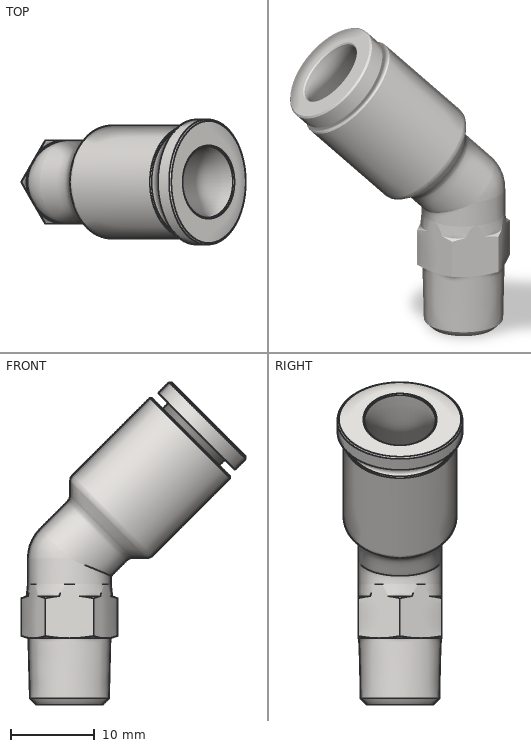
import cadquery as cq
import math

thread_tip_radius = 3.95
thread_low_radius = 4.75
thread_top_radius = 4.93
thread_tip_height = 0.8
thread_top = 8.0

hex_sides = 6
hex_flat_width = 10.0
hex_chamfer_rise = 0.25
hex_shoulder = 13.0
hex_shoulder_radius = 5.15
collar_bottom = 14.45

tube_radius = 5.0
elbow_height = 17.5
elbow_angle = 45.0

socket_radius = 6.8
cone_start = 5.08
cone_end = cone_start + socket_radius - tube_radius
cone_blend = 0.9
socket_end = 20.55
socket_chamfer = 0.15

ring_length = 15.0
ring_width = 13.0
ring_start = 21.5
ring_end = 23.55
ring_chamfer = 0.2
sleeve_radius = 4.8

bore_radius = 4.25
bore_chamfer = 0.15
bore_floor = cone_end

hex_flat_radius = hex_flat_width / 2
hex_corner_radius = hex_flat_radius / math.cos(math.pi / hex_sides)


def revolve_outline(points):
    """Revolve a closed (radius, height) outline about Z."""
    return cq.Workplane("XZ").polyline(points).close().revolve(360, (0, 0, 0), (0, 1, 0))


def make_thread():
    return revolve_outline([
        (0, 0),
        (thread_tip_radius, 0),
        (thread_low_radius, thread_tip_height),
        (thread_top_radius, thread_top),
        (0, thread_top),
    ])


def make_hexagon():
    """Hexagon trimmed by chamfer cones, with a flared neck above it."""
    prism = (
        cq.Workplane("XY")
        .workplane(offset=thread_top)
        .polygon(hex_sides, 2 * hex_corner_radius)
        .extrude(collar_bottom - thread_top)
    )
    envelope = revolve_outline([
        (0, thread_top),
        (hex_flat_radius, thread_top),
        (hex_corner_radius, thread_top + hex_chamfer_rise),
        (hex_corner_radius, hex_shoulder - hex_chamfer_rise),
        (hex_shoulder_radius, hex_shoulder),
        (tube_radius, collar_bottom),
        (0, collar_bottom),
    ])
    return prism.intersect(envelope)


def make_collar():
    return (
        cq.Workplane("XY")
        .workplane(offset=collar_bottom)
        .circle(tube_radius)
        .extrude(elbow_height - collar_bottom)
    )


def make_socket():
    """Tube and socket body along Z, with the elbow centre at the origin."""
    socket = revolve_outline([
        (0, 0),
        (tube_radius, 0),
        (tube_radius, cone_start),
        (socket_radius, cone_end),
        (socket_radius, socket_end),
        (0, socket_end),
    ])
    socket = socket.faces("%CONE").edges().fillet(cone_blend)
    return socket.faces(">Z").edges().chamfer(socket_chamfer)


def make_release_ring():
    sleeve = (
        cq.Workplane("XY")
        .workplane(offset=socket_end)
        .circle(sleeve_radius)
        .extrude(ring_start - socket_end)
    )
    ring = (
        cq.Workplane("XY")
        .workplane(offset=ring_start)
        .ellipse(ring_width / 2, ring_length / 2)
        .extrude(ring_end - ring_start)
        .faces(">Z")
        .edges()
        .chamfer(ring_chamfer)
    )
    return sleeve.union(ring)


def make_bore():
    return revolve_outline([
        (0, bore_floor),
        (bore_radius, bore_floor),
        (bore_radius, ring_end - bore_chamfer),
        (bore_radius + bore_chamfer, ring_end),
        (0, ring_end),
    ])


def tilt_to_elbow(body):
    """Tilt from Z toward +X and lift to the elbow centre."""
    return body.rotate((0, 0, 0), (0, 1, 0), elbow_angle).translate((0, 0, elbow_height))


elbow_ball = cq.Workplane("XY").sphere(tube_radius).translate((0, 0, elbow_height))
tilted_arm = tilt_to_elbow(make_socket().union(make_release_ring()).cut(make_bore()))

result = (
    make_thread()
    .union(make_hexagon())
    .union(make_collar())
    .union(elbow_ball)
    .union(tilted_arm)
)